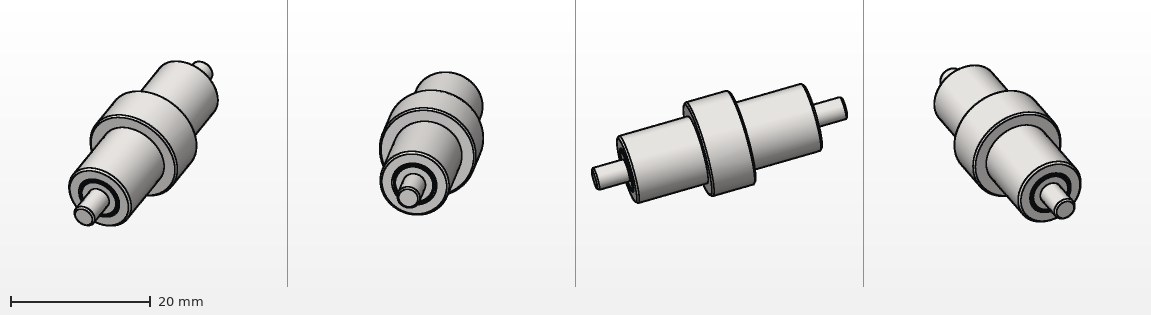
import cadquery as cq

total_length = 37.5
body_length = 27.82
flange_length = 6.6
hub_rise = 0.08

flange_diameter = 14.0
body_diameter = 10.0
hub_diameter = 6.0
pin_diameter = 3.3

edge_chamfer = 0.25
body_chamfer = 0.3
bore_chamfer_depth = 0.25
hub_chamfer_length = bore_chamfer_depth + hub_rise


def chamfered_cylinder(diameter, length, width, depth):
    """Cylinder along Y, centred on the origin, with end chamfers of radial width and axial depth."""
    radius = diameter / 2
    half_length = length / 2
    return (
        cq.Workplane("XY")
        .moveTo(0, -half_length)
        .lineTo(radius - width, -half_length)
        .lineTo(radius, -half_length + depth)
        .lineTo(radius, half_length - depth)
        .lineTo(radius - width, half_length)
        .lineTo(0, half_length)
        .close()
        .revolve(360, (0, 0, 0), (0, 1, 0))
    )


def bore_chamfer(end):
    """Conical countersink around the hub at one body end (end is -1 or 1)."""
    hub_radius = hub_diameter / 2
    face_y = end * body_length / 2
    return (
        cq.Workplane("XY")
        .moveTo(hub_radius, face_y - end * bore_chamfer_depth)
        .lineTo(hub_radius, face_y)
        .lineTo(hub_radius + edge_chamfer, face_y)
        .close()
        .revolve(360, (0, 0, 0), (0, 1, 0))
    )


sleeve = chamfered_cylinder(body_diameter, body_length, body_chamfer, body_chamfer)
sleeve = sleeve.union(chamfered_cylinder(flange_diameter, flange_length, edge_chamfer, edge_chamfer))
for end in (-1, 1):
    sleeve = sleeve.cut(bore_chamfer(end))

hub = chamfered_cylinder(hub_diameter, body_length + 2 * hub_rise, edge_chamfer, hub_chamfer_length)
pin = chamfered_cylinder(pin_diameter, total_length, edge_chamfer, edge_chamfer)

result = sleeve.union(hub).union(pin)